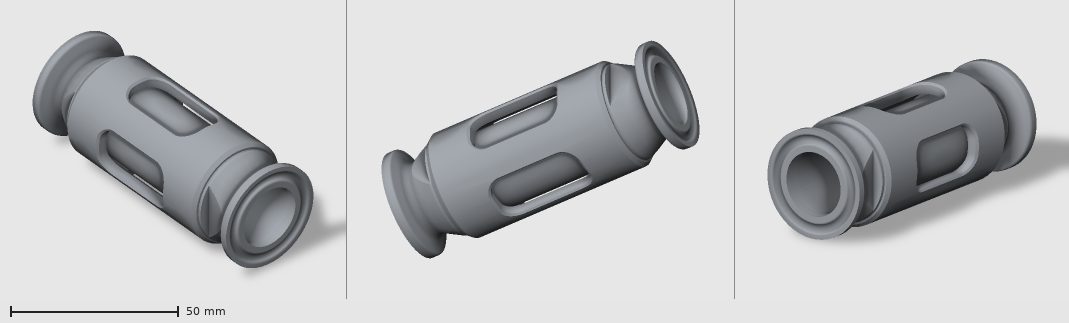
import cadquery as cq
import math


total_length = 90.0
outer_radius = 17.0
bore_radius = 10.0

housing_length = 60.0
housing_bore_radius = 13.5
end_chamfer_length = 1.3
end_chamfer_depth = 1.0
window_length = 29.9
window_width = 15.0
window_corner_radius = 5.0
window_chamfer = 0.7

glass_radius = 12.5
glass_length = 40.0

rim_thickness = 2.8
rim_fillet = 0.9
flange_back_angle = math.radians(20)
groove_radius = 13.8
groove_arc_radius = 1.35
groove_edge_fillet = 0.7
groove_wall_angle = math.radians(70)

neck_radius = 11.5
neck_fillet = 2.0
cone_angle = math.radians(28)
cone_fillet = 2.0
collar_radius = 15.3
flat_distance = 12.0
flat_end = 13.95

collar_insertion = (housing_length - glass_length) / 2
ferrule_length = (total_length - glass_length) / 2


def arc_point(center, radius, angle):
    """Point of a circle, with the angle measured from +X towards the outside of the part."""
    return (center[0] + radius * math.cos(angle), center[1] + radius * math.sin(angle))


def add_arc(outline, center, radius, start_angle, end_angle):
    """Continue the outline from the start angle to the end angle of a circle."""
    middle = arc_point(center, radius, (start_angle + end_angle) / 2)
    return outline.threePointArc(middle, arc_point(center, radius, end_angle))


def make_cylinder(length, radius):
    """Cylinder around the X axis, centred on the origin."""
    return cq.Workplane("YZ", origin=(-length / 2, 0, 0)).circle(radius).extrude(length)


def revolve_about_x(outline):
    """Turn a half profile of the XZ plane into a round body."""
    return outline.close().revolve(360, (0, 0, 0), (1, 0, 0))


def make_housing():
    half_length = housing_length / 2
    chamfer_start = half_length - end_chamfer_length
    end_radius = outer_radius - end_chamfer_depth
    outline = (
        cq.Workplane("XZ")
        .moveTo(-half_length, 0)
        .lineTo(-half_length, end_radius)
        .lineTo(-chamfer_start, outer_radius)
        .lineTo(chamfer_start, outer_radius)
        .lineTo(half_length, end_radius)
        .lineTo(half_length, 0)
    )
    housing = revolve_about_x(outline)
    housing = cut_windows(housing)
    housing = housing.cut(make_cylinder(housing_length, housing_bore_radius))

    collar_seat = cq.Workplane("YZ").circle(collar_radius).extrude(collar_insertion)
    for seat_start in (-half_length, half_length - collar_insertion):
        housing = housing.cut(collar_seat.translate((seat_start, 0, 0)))
    return housing


def cut_windows(body):
    """Cut two crossing slots through a solid cylinder, for four windows with bevelled outer edges."""
    slot = (
        cq.Workplane("XY", origin=(0, 0, -2 * outer_radius))
        .rect(window_length, window_width)
        .extrude(4 * outer_radius)
        .edges("|Z")
        .fillet(window_corner_radius)
    )
    slots = slot.union(slot.rotate((0, 0, 0), (1, 0, 0), 90))
    body = body.cut(slots)

    half_span = window_length / 2 + window_chamfer
    window_zone = cq.selectors.BoxSelector(
        (-half_span, -outer_radius, -outer_radius), (half_span, outer_radius, outer_radius)
    )
    rims = body.edges(window_zone).filter(lies_on_outer_surface)
    return rims.chamfer(window_chamfer)


def lies_on_outer_surface(edge):
    """True if the ends and the middle of the edge are at the outer radius."""
    tolerance = 0.001
    return all(
        abs(math.hypot(point.y, point.z) - outer_radius) < tolerance
        for point in edge.positions((0, 0.5, 1))
    )


def make_glass():
    """Tube with the same bore as the ferrules."""
    glass = make_cylinder(glass_length, glass_radius)
    return glass.cut(make_cylinder(glass_length, bore_radius))


def make_ferrule():
    """Ferrule with its clamp face at X = 0 and its collar towards +X."""
    slope = math.tan(flange_back_angle)

    rim_center = (
        rim_thickness + rim_fillet * (slope - 1 / math.cos(flange_back_angle)),
        outer_radius - rim_fillet,
    )
    neck_center_radius = neck_radius + neck_fillet
    neck_center = (
        rim_thickness
        + (outer_radius - neck_center_radius) * slope
        + neck_fillet / math.cos(flange_back_angle),
        neck_center_radius,
    )
    cone_center_radius = collar_radius - cone_fillet
    rise = neck_center_radius - cone_center_radius
    cone_run = ((neck_fillet + cone_fillet) / math.cos(cone_angle) - rise) / math.tan(cone_angle)
    cone_center = (neck_center[0] + cone_run, cone_center_radius)

    quarter = math.pi / 2
    outline = cq.Workplane("XZ").moveTo(0, bore_radius).lineTo(0, outer_radius)
    outline = outline.lineTo(rim_center[0], outer_radius)
    outline = add_arc(outline, rim_center, rim_fillet, quarter, flange_back_angle)
    outline = outline.lineTo(*arc_point(neck_center, neck_fillet, math.pi + flange_back_angle))
    outline = add_arc(outline, neck_center, neck_fillet, math.pi + flange_back_angle, 3 * quarter)
    outline = add_arc(outline, neck_center, neck_fillet, 3 * quarter, 3 * quarter + cone_angle)
    outline = outline.lineTo(*arc_point(cone_center, cone_fillet, quarter + cone_angle))
    outline = add_arc(outline, cone_center, cone_fillet, quarter + cone_angle, quarter)
    outline = outline.lineTo(ferrule_length, collar_radius).lineTo(ferrule_length, bore_radius)
    ferrule = revolve_about_x(outline)
    ferrule = ferrule.cut(make_gasket_groove())

    flat_length = flat_end - neck_center[0]
    for side in (-1, 1):
        flat_cut = cq.Workplane("XY").box(flat_length, outer_radius, 2 * outer_radius).translate(
            (neck_center[0] + flat_length / 2, side * (flat_distance + outer_radius / 2), 0)
        )
        ferrule = ferrule.cut(flat_cut)
    return ferrule


def make_gasket_groove():
    """Ring with a round bottom and rounded edges, sunk into the plane X = 0."""
    lean = groove_wall_angle
    reach = groove_arc_radius + groove_edge_fillet
    bottom_center = (groove_edge_fillet - reach * math.cos(lean), groove_radius)
    inner_center = (groove_edge_fillet, groove_radius - reach * math.sin(lean))
    outer_center = (groove_edge_fillet, groove_radius + reach * math.sin(lean))
    outline = cq.Workplane("XZ").moveTo(0, inner_center[1])
    outline = add_arc(outline, inner_center, groove_edge_fillet, math.pi, math.pi - lean)
    outline = add_arc(outline, bottom_center, groove_arc_radius, -lean, lean)
    outline = add_arc(outline, outer_center, groove_edge_fillet, math.pi + lean, math.pi)
    return revolve_about_x(outline)


housing = make_housing()
glass = make_glass()
left_ferrule = make_ferrule().translate((-total_length / 2, 0, 0))
right_ferrule = left_ferrule.mirror("YZ")

result = cq.Compound.makeCompound(
    [housing.val(), glass.val(), left_ferrule.val(), right_ferrule.val()]
)